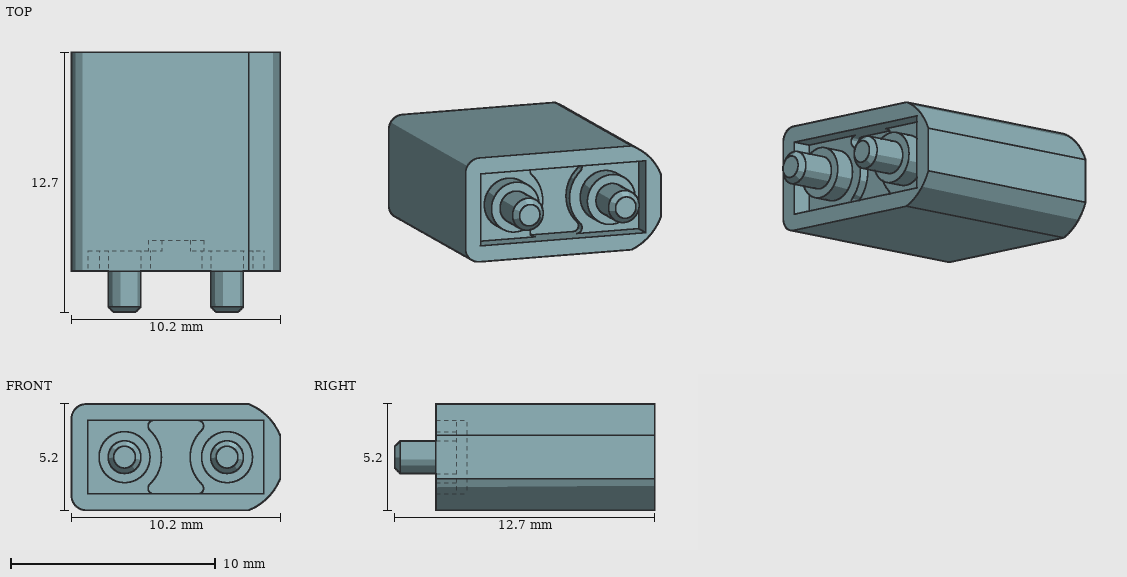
import cadquery as cq
import math

total_length = 12.7
housing_width = 10.2
housing_height = 5.2
pin_protrusion = 2.01
housing_length = total_length - pin_protrusion

left_corner_radius = 0.72
key_corner_radius = 2.81

wall = 0.8
pocket_depth = 1.0
recess_depth = 0.5
recess_corner_radius = 0.28
contact_land_radius = 1.8

contact_pitch = 5.0
collar_radius = 1.25
pin_radius = 0.8
pin_chamfer = 0.27

half_width = housing_width / 2
half_height = housing_height / 2
pocket_width = housing_width - 2 * wall
pocket_height = housing_height - 2 * wall
pocket_half_height = pocket_height / 2
contact_x = contact_pitch / 2
contact_positions = [-contact_x, contact_x]


def section_plane(y):
    """XZ plane at the given Y, with local x = X, local y = Z and the normal along -Y."""
    return cq.Workplane("XZ", origin=(0, y, 0))


def cylinder(x, radius, front, back):
    """Cylinder along Y, centred at (x, Z = 0), between two Y positions."""
    return section_plane(back).center(x, 0).circle(radius).extrude(back - front)


def make_outer_block():
    """Housing body: rounded left corners and wide keying arcs around the right contact."""
    key_x = contact_x + math.sqrt(key_corner_radius**2 - half_height**2)
    key_z = math.sqrt(key_corner_radius**2 - (half_width - contact_x) ** 2)
    return (
        section_plane(housing_length)
        .moveTo(-half_width, -half_height)
        .lineTo(key_x, -half_height)
        .radiusArc((half_width, -key_z), -key_corner_radius)
        .lineTo(half_width, key_z)
        .radiusArc((key_x, half_height), -key_corner_radius)
        .lineTo(-half_width, half_height)
        .close()
        .extrude(housing_length)
        .edges("|Y and <X")
        .fillet(left_corner_radius)
    )


def make_recess():
    """Waisted recess: two arcs around the contacts, blended into the pocket walls."""
    round_z = pocket_half_height - recess_corner_radius
    centre_distance = contact_land_radius + recess_corner_radius
    round_x = contact_x - math.sqrt(centre_distance**2 - round_z**2)
    blend = contact_land_radius / centre_distance
    tangent_x = contact_x + (round_x - contact_x) * blend
    tangent_z = round_z * blend
    middle_angle = (math.pi / 2 + math.atan2(-round_z, contact_x - round_x)) / 2
    middle_x = round_x + recess_corner_radius * math.cos(middle_angle)
    middle_z = round_z + recess_corner_radius * math.sin(middle_angle)
    waist_x = contact_x - contact_land_radius
    return (
        section_plane(pocket_depth + recess_depth)
        .moveTo(-round_x, pocket_half_height)
        .lineTo(round_x, pocket_half_height)
        .threePointArc((middle_x, middle_z), (tangent_x, tangent_z))
        .threePointArc((waist_x, 0), (tangent_x, -tangent_z))
        .threePointArc((middle_x, -middle_z), (round_x, -pocket_half_height))
        .lineTo(-round_x, -pocket_half_height)
        .threePointArc((-middle_x, -middle_z), (-tangent_x, -tangent_z))
        .threePointArc((-waist_x, 0), (-tangent_x, tangent_z))
        .threePointArc((-middle_x, middle_z), (-round_x, pocket_half_height))
        .close()
        .extrude(recess_depth)
    )


def make_housing():
    """Housing with a rectangular front pocket and the recess in the pocket floor."""
    pocket = section_plane(pocket_depth).rect(pocket_width, pocket_height).extrude(pocket_depth)
    return make_outer_block().cut(pocket).cut(make_recess())


def make_collar(x):
    """Sleeve around one pin, from the pocket floor up to the open face."""
    outside = cylinder(x, collar_radius, 0, pocket_depth)
    return outside.cut(cylinder(x, pin_radius, 0, pocket_depth))


def make_pin(x):
    """Round pin through its collar, standing on the pocket floor, with a chamfered tip."""
    return cylinder(x, pin_radius, -pin_protrusion, pocket_depth).faces("<Y").chamfer(pin_chamfer)


housing = make_housing()
collars = [make_collar(x) for x in contact_positions]
pins = [make_pin(x) for x in contact_positions]

result = cq.Compound.makeCompound(
    [
        housing.val(),
        *[collar.val() for collar in collars],
        *[pin.val() for pin in pins],
    ]
)